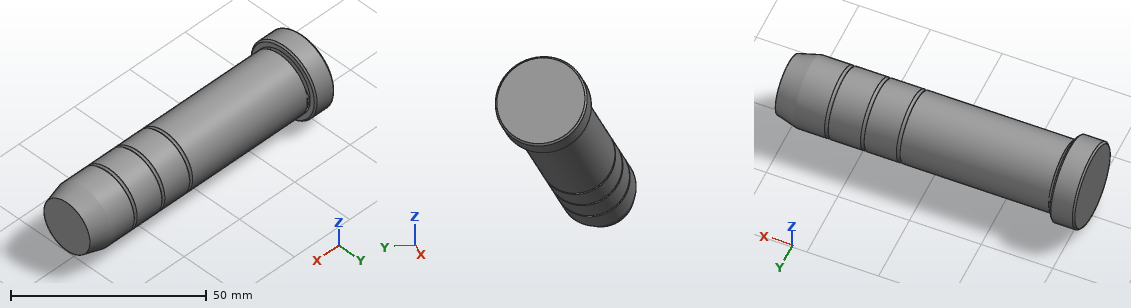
import cadquery as cq
import math

total_length = 85.0
head_diameter = 24.0
head_length = 7.0
head_chamfer = 0.5
shank_diameter = 20.0
tip_length = 6.0
tip_angle = 15.0

groove_radius = 0.5
first_groove_position = 50.0
groove_pitch = 10.0
groove_count = 3

head_radius = head_diameter / 2
shank_radius = shank_diameter / 2
tip_start = total_length - tip_length
tip_radius = shank_radius - tip_length * math.tan(math.radians(tip_angle))
undercut_position = head_length + groove_radius
groove_positions = [first_groove_position + i * groove_pitch for i in range(groove_count)]


def make_head():
    """Round head with both rims chamfered."""
    return (
        cq.Workplane("YZ")
        .circle(head_radius)
        .extrude(head_length)
        .faces("<X or >X")
        .edges()
        .chamfer(head_chamfer)
    )


def make_shank():
    """Cylindrical shank ending in a conical lead-in tip."""
    half_profile = [
        (0, 0),
        (0, shank_radius),
        (tip_start, shank_radius),
        (total_length, tip_radius),
        (total_length, 0),
    ]
    return cq.Workplane("XY").polyline(half_profile).close().revolve(360, (0, 0, 0), (1, 0, 0))


def make_groove(position):
    """Ring that cuts a semicircular groove centred on the shank surface."""
    return (
        cq.Workplane("XY")
        .center(position, shank_radius)
        .circle(groove_radius)
        .revolve(360, (0, -shank_radius, 0), (1, -shank_radius, 0))
    )


result = make_head().union(make_shank())
for position in [undercut_position] + groove_positions:
    result = result.cut(make_groove(position))